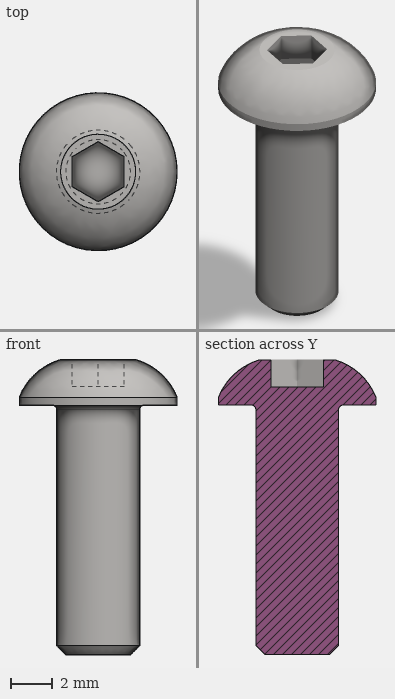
import cadquery as cq
import math

total_length = 14.2
head_diameter = 7.6
head_height = 2.2
rim_height = 0.38
crown_flat_diameter = 3.6
dome_bulge = 0.31

shank_diameter = 4.0
tip_chamfer = 0.45
neck_flare = 0.2

socket_across_flats = 2.5
socket_depth = 1.3

head_radius = head_diameter / 2
crown_radius = crown_flat_diameter / 2
shank_radius = shank_diameter / 2
head_base = total_length - head_height
rim_top = head_base + rim_height


def dome_midpoint():
    """Point halfway along the dome arc, offset outward from its chord."""
    run = head_radius - crown_radius
    rise = total_length - rim_top
    chord = math.hypot(run, rise)
    radius = (head_radius + crown_radius) / 2 + dome_bulge * rise / chord
    height = (rim_top + total_length) / 2 + dome_bulge * run / chord
    return radius, height


def screw_body():
    """Revolve the half profile of shank, neck fillet and button head."""
    neck_start = (shank_radius, head_base - neck_flare)
    neck_end = (shank_radius + neck_flare, head_base)
    neck_inset = neck_flare * (1 - math.sqrt(0.5))
    neck_middle = (shank_radius + neck_inset, head_base - neck_inset)
    profile = (
        cq.Workplane("XZ")
        .lineTo(shank_radius - tip_chamfer, 0)
        .lineTo(shank_radius, tip_chamfer)
        .lineTo(*neck_start)
        .threePointArc(neck_middle, neck_end)
        .lineTo(head_radius, head_base)
        .lineTo(head_radius, rim_top)
        .threePointArc(dome_midpoint(), (crown_radius, total_length))
        .lineTo(0, total_length)
        .close()
    )
    return profile.revolve(360, (0, 0, 0), (0, 1, 0))


def hex_socket():
    """Hexagonal drive recess with two flats facing along X."""
    across_corners = socket_across_flats / math.cos(math.pi / 6)
    return (
        cq.Workplane("XY")
        .workplane(offset=total_length - socket_depth)
        .polygon(6, across_corners)
        .extrude(socket_depth)
        .rotate((0, 0, 0), (0, 0, 1), 30)
    )


result = screw_body().cut(hex_socket())